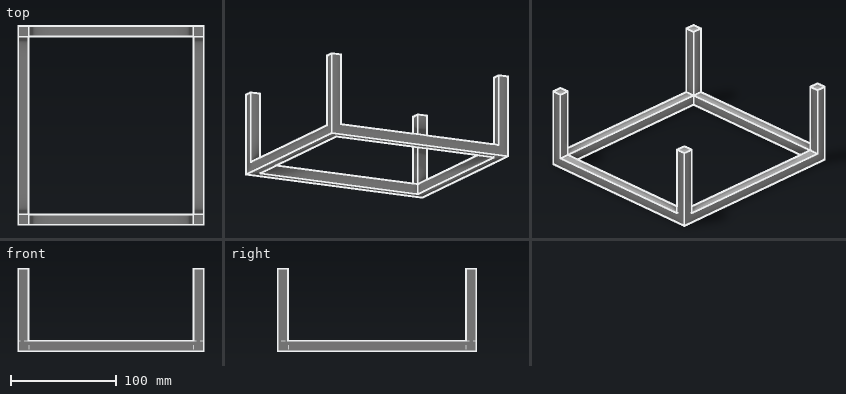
import cadquery as cq

width = 175.4
depth = 188.0
height = 78.0

bar = 10.0

base = (
    cq.Workplane("XY")
    .rect(width, depth)
    .rect(width - 2 * bar, depth - 2 * bar)
    .extrude(bar)
)

posts = (
    cq.Workplane("XY")
    .rect(width - bar, depth - bar, forConstruction=True)
    .vertices()
    .rect(bar, bar)
    .extrude(height)
)

result = base.union(posts)